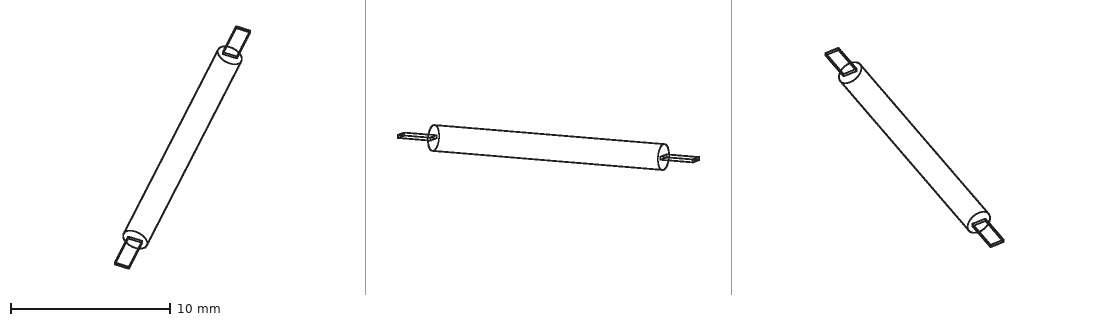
import cadquery as cq

body_diameter = 1.64
body_length = 16.0
overall_length = 20.5
blade_width = 0.95
blade_thickness = 0.2


def make_body():
    """Round body along Y, centred on the origin."""
    back_plane = cq.Workplane("XZ", origin=(0, body_length / 2, 0))
    return back_plane.circle(body_diameter / 2).extrude(body_length)


def make_blade():
    """Flat strip through the body, standing out equally at both ends."""
    return cq.Workplane("XY").box(blade_width, overall_length, blade_thickness)


result = make_body().union(make_blade())